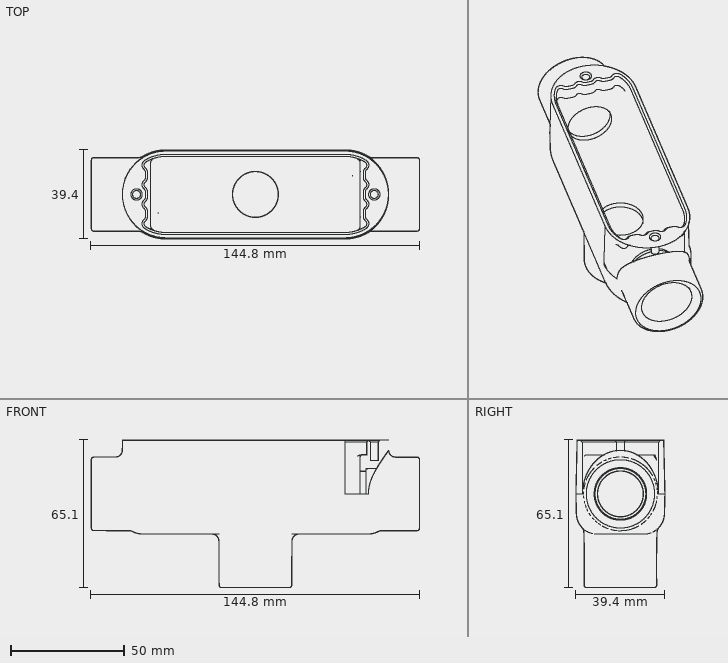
import cadquery as cq
import math


overall_length = 144.78
overall_width = 39.35
overall_height = 65.07
rim_z = 23.7
hub_end_x = overall_length / 2
bottom_hub_end_z = rim_z - overall_height

body_end_x = 39.5
body_tip_x = body_end_x + overall_width / 2
body_floor_z = -17.75
body_draft = 1.3
body_bottom_fillet = 9.2

rim_wall = 1.45
rim_chamfer = 0.9
chamfer_angle = 45
body_rim_radius = overall_width / 2 - rim_z * math.tan(math.radians(body_draft))
cavity_radius = body_rim_radius - rim_wall - rim_chamfer
cavity_floor_z = -15.4
cavity_bottom_fillet = 8.0
cavity_half_length = 46.2
cavity_end_fillet = 3.4
cavity_corner_fillet = 2.3

hub_radius = 32.54 / 2
bottom_hub_end_radius = 16.05
hub_lip_fillet = 1.2
hub_root_fillet = 3.0
throat_radius = 20.12 / 2
throat_length = 2.5
bore_mouth_radius = 11.6
bore_inner_radius = 11.2
mouth_depth = 2.4

screw_x = 52.4
screw_radius = 1.75
screw_depth = 9.0
screw_chamfer = 0.75
ledge_depth = 6.5
ledge_half_length = 47.6
ledge_edge_round = 0.8
scallop_radius = 1.5
scallop_lip_fillet = 2.5
ledge_z = rim_z - ledge_depth
scallop_pitch = 8.6
scallop_count = 4

select_margin = 0.6
same_place = 0.01


def stadium(z, radius, height, draft):
    """Prism with round ends about +-body_end_x, narrowing by the draft angle."""
    return (
        cq.Workplane("XY")
        .workplane(offset=z)
        .slot2D(2 * (body_end_x + radius), 2 * radius)
        .extrude(height, taper=draft)
    )


def turned(points, axis):
    """Solid of revolution from (radius, distance) points about an axis out of the origin."""
    across = cq.Vector(0, 1, 0).cross(axis)
    plane = cq.Plane(origin=(0, 0, 0), xDir=across, normal=across.cross(axis))
    return cq.Workplane(plane).polyline(points).close().revolve(360, (0, 0), (0, 1))


def outer_body():
    """Upper and lower halves, drafted away from the parting plane, with a rounded bottom."""
    upper = stadium(0, overall_width / 2, rim_z, body_draft)
    lower = stadium(0, overall_width / 2, body_floor_z, body_draft)
    lower = lower.faces("<Z").edges().fillet(body_bottom_fillet)
    return upper.union(lower)


def hub(length, end_radius, axis):
    """Round hub from the origin out along the axis, with a rounded outer lip."""
    points = [(0, 0), (hub_radius, 0), (end_radius, length), (0, length)]
    return turned(points, axis)


def hub_bore(length, end_radius, inner_end, axis):
    """Flared mouth, tapered bore and narrower throat, from the hub end in to the cavity."""
    shoulder = inner_end + throat_length
    points = [
        (0, 0),
        (throat_radius, 0),
        (throat_radius, shoulder),
        (bore_inner_radius, shoulder),
        (bore_mouth_radius, length - mouth_depth),
        (end_radius - hub_lip_fillet, length),
        (0, length),
    ]
    return turned(points, axis)


def hub_root_selectors():
    """Boxes holding the middles of the edges where each hub leaves the body."""
    reach = hub_radius + select_margin
    inner_x = body_tip_x - body_bottom_fillet
    outer_x = body_tip_x + select_margin
    low_z = body_floor_z - select_margin
    high_z = body_floor_z + body_bottom_fillet / 2
    return [
        cq.selectors.BoxSelector((-outer_x, -reach, -reach), (-inner_x, reach, reach)),
        cq.selectors.BoxSelector((inner_x, -reach, -reach), (outer_x, reach, reach)),
        cq.selectors.BoxSelector((-reach, -reach, low_z), (reach, reach, high_z)),
    ]


def cavity():
    """Round-bottomed room with flat ends, opening out over the ledges below the rim."""
    height = rim_z - cavity_floor_z
    room = stadium(cavity_floor_z, cavity_radius, height, 0)
    room = room.faces("<Z").edges().fillet(cavity_bottom_fillet)
    ends = (
        cq.Workplane("XY")
        .workplane(offset=cavity_floor_z)
        .rect(2 * cavity_half_length, overall_width)
        .extrude(height)
        .faces("<Z")
        .edges("|Y")
        .fillet(cavity_end_fillet)
    )
    room = room.intersect(ends.union(ledge_recess()))
    corners = [
        edge
        for edge in room.edges("|Z").vals()
        if edge.Center().z < ledge_z and abs(abs(edge.Center().x) - cavity_half_length) < same_place
    ]
    return room.newObject(corners).fillet(cavity_corner_fillet)


def ledge_recess():
    """Shallow recess below the rim plane, longer than the cavity and scalloped at both ends."""
    plane = cq.Workplane("XY").workplane(offset=ledge_z)
    recess = plane.rect(2 * ledge_half_length, overall_width).extrude(ledge_depth)
    first_y = -scallop_pitch * (scallop_count - 1) / 2
    for side in (-1, 1):
        points = [
            (side * ledge_half_length, first_y + index * scallop_pitch)
            for index in range(scallop_count)
        ]
        recess = recess.union(plane.pushPoints(points).circle(scallop_radius).extrude(ledge_depth))
    scallop_lips = [
        edge
        for edge in recess.edges("|Z").vals()
        if abs(abs(edge.Center().x) - ledge_half_length) < same_place
        and abs(edge.Center().y) < cavity_radius
    ]
    return recess.newObject(scallop_lips).fillet(scallop_lip_fillet)


def ledge_edge_selectors():
    """Boxes holding the middle of each ledge's front edge, above the flat cavity ends."""
    margin = select_margin / 2
    return [
        cq.selectors.BoxSelector(
            (x - margin, -margin, ledge_z - margin),
            (x + margin, margin, ledge_z + margin),
        )
        for x in (-cavity_half_length, cavity_half_length)
    ]


def rim_flare():
    """Chamfer around the whole opening, scallops included."""
    foot_z = rim_z - rim_chamfer
    outline = ledge_recess().faces("<Z").wires().val()
    outline = outline.translate(cq.Vector(0, 0, foot_z - ledge_z))
    wavy = cq.Solid.extrudeLinear(outline, [], cq.Vector(0, 0, rim_chamfer), -chamfer_angle)
    return stadium(foot_z, cavity_radius, rim_chamfer, -chamfer_angle).intersect(cq.Workplane(wavy))


def screw_holes():
    """Blind cover screw holes with chamfered mouths, one in each boss."""
    points = [(-screw_x, 0), (screw_x, 0)]
    plane = cq.Workplane("XY").workplane(offset=rim_z).pushPoints(points)
    holes = plane.circle(screw_radius).extrude(-screw_depth)
    flare = plane.circle(screw_radius + screw_chamfer).extrude(-screw_chamfer, taper=chamfer_angle)
    return holes.union(flare)


hubs = [
    (cq.Vector(-1, 0, 0), hub_end_x, hub_radius, cavity_half_length),
    (cq.Vector(1, 0, 0), hub_end_x, hub_radius, cavity_half_length),
    (cq.Vector(0, 0, -1), -bottom_hub_end_z, bottom_hub_end_radius, -cavity_floor_z),
]

result = outer_body()
for axis, length, end_radius, inner_end in hubs:
    result = result.union(hub(length, end_radius, axis))
result = result.faces("<X or >X or <Z").edges().fillet(hub_lip_fillet)
for root_edges in hub_root_selectors():
    result = result.edges(root_edges).fillet(hub_root_fillet)
for axis, length, end_radius, inner_end in hubs:
    result = result.cut(hub_bore(length, end_radius, inner_end, axis))
result = result.cut(cavity()).cut(rim_flare()).cut(screw_holes())
for front_edge in ledge_edge_selectors():
    result = result.edges(front_edge).fillet(ledge_edge_round)